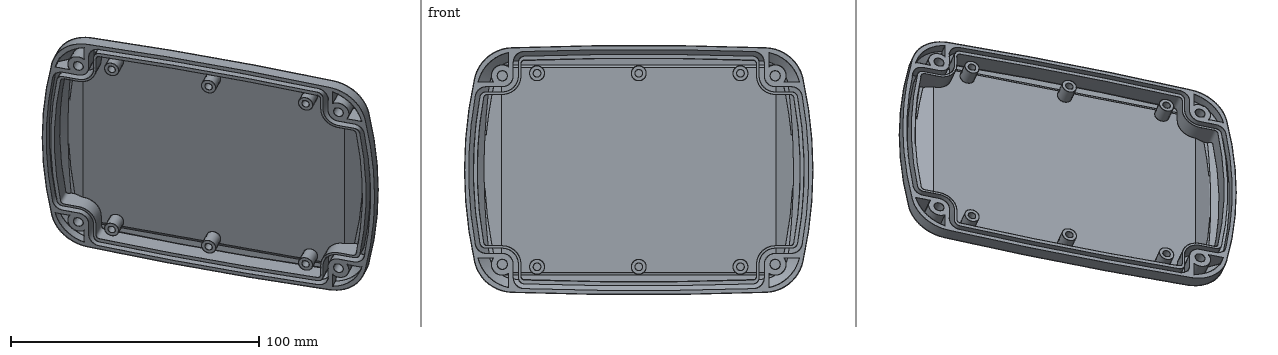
import cadquery as cq
import math


half_length = 70.26
half_height = 50.26
end_arc_radius = 170.0
long_arc_radius = 1400.0
corner_radius = 16.0

total_depth = 11.0
edge_depth = 5.0
bevel_slope = 1.13
back_radius = 430.0
wall = 1.5

panel_half_length = 55.0
panel_half_height = 41.0
panel_depth = 8.5
panel_slope = 20.0

rim_width = 1.7
bevel_start = 4.0
rim_corner_radius = 4.5
lip_side_outer = 3.6
lip_side_inner = 5.15
lip_outer_corner_radius = 2.5
lip_inner_corner_radius = 1.6

boss_x = 55.0
boss_z = 38.0
boss_radius = 4.4
boss_wall = 1.9
boss_hole_diameter = 4.1
boss_hole_depth = 6.0
lip_boss_outer = 6.5
lip_boss_inner = 7.5

post_x_spacing = 41.0
post_z = 39.0
post_diameter = 6.0
post_hole_diameter = 3.1
post_top = 0.3
post_hole_depth = 5.0

corner_signs = [(sx, sz) for sx in (-1, 1) for sz in (-1, 1)]
boss_points = [(sx * boss_x, sz * boss_z) for sx, sz in corner_signs]
post_points = [(i * post_x_spacing, s * post_z) for i in (-1, 0, 1) for s in (-1, 1)]


def depth_plane(y=0.0):
    """Workplane at depth y whose extrusions run toward +Y."""
    return cq.Workplane(cq.Plane(origin=(0, y, 0), xDir=(1, 0, 0), normal=(0, 1, 0)))


def arc_meeting_point(x_end, z_end, r_end, r_long):
    """Corner where the end arc and the long arc cross."""
    end_centre = x_end - r_end
    long_centre = z_end - r_long
    span = math.hypot(end_centre, long_centre)
    along = (r_end**2 - r_long**2 + span**2) / (2 * span)
    across = math.sqrt(r_end**2 - along**2)
    ux = -end_centre / span
    uz = long_centre / span
    return end_centre + along * ux - across * uz, along * uz + across * ux


def outline_prism(inset):
    """Sharp-cornered, full-depth prism of the outline moved inward by inset."""
    x_end = half_length - inset
    z_end = half_height - inset
    cx, cz = arc_meeting_point(x_end, z_end, end_arc_radius - inset, long_arc_radius - inset)
    return (
        depth_plane()
        .moveTo(-cx, -cz)
        .threePointArc((0, -z_end), (cx, -cz))
        .threePointArc((x_end, 0), (cx, cz))
        .threePointArc((0, z_end), (-cx, cz))
        .threePointArc((-x_end, 0), (-cx, -cz))
        .close()
        .extrude(total_depth)
    )


def bevelled_body(inset, straight_depth):
    """Rounded outline whose far edge is bevelled beyond straight_depth."""
    rise = total_depth - straight_depth
    body = outline_prism(inset).edges("|Y").fillet(corner_radius)
    return body.faces(">Y").edges().chamfer(rise, bevel_slope * rise)


def crown_cylinder(crown_depth, radius):
    """Cylinder along X whose crown lies at Y = crown_depth."""
    return (
        cq.Workplane("YZ", origin=(-half_length, 0, 0))
        .center(crown_depth - radius, 0)
        .circle(radius)
        .extrude(2 * half_length)
    )


def panel_block(half_x, half_z, depth):
    """Rectangular block from Y = depth outward, its borders flaring at the panel slope."""
    reach = total_depth - depth
    flare = reach / math.tan(math.radians(panel_slope))
    return (
        depth_plane(depth)
        .rect(2 * half_x, 2 * half_z)
        .workplane(offset=reach)
        .rect(2 * (half_x + flare), 2 * (half_z + flare))
        .loft(combine=True)
    )


def corner_blocks(x_inner, z_inner):
    """Four blocks that fill the corners beyond x_inner and z_inner."""
    size_x = half_length - x_inner
    size_z = half_height - z_inner
    mid_x = x_inner + size_x / 2
    mid_z = z_inner + size_z / 2
    centres = [(sx * mid_x, sz * mid_z) for sx, sz in corner_signs]
    return depth_plane().pushPoints(centres).rect(size_x, size_z).extrude(total_depth)


def cylinders(points, diameter, depth, start=0.0):
    """Round columns of the given depth, beginning at Y = start."""
    return depth_plane(start).pushPoints(points).circle(diameter / 2).extrude(depth)


def is_boss_edge(edge):
    """True for the loop corner that turns around a boss."""
    centre = edge.Center()
    return abs(centre.x) < boss_x and abs(centre.z) < boss_z


def is_side_corner(edge):
    """True where the loop's boss step runs out into a side of the outline."""
    centre = edge.Center()
    return abs(centre.x) > boss_x + boss_radius or abs(centre.z) > boss_z + boss_radius


def seal_loop(inset, around_boss, side_corner_radius):
    """Prism inside the outline that steps inward around each corner boss."""
    loop = outline_prism(inset)
    loop = loop.cut(corner_blocks(boss_x - around_boss, boss_z - around_boss))
    loop = loop.edges("|Y").filter(is_boss_edge).fillet(around_boss)
    return loop.edges("|Y").filter(is_side_corner).fillet(side_corner_radius)


def make_outer():
    """Solid cover: bevelled outline, crowned back, sunken panel."""
    body = bevelled_body(0, edge_depth).intersect(crown_cylinder(total_depth, back_radius))
    return body.cut(panel_block(panel_half_length, panel_half_height, panel_depth))


def make_cavity():
    """Inside of the shell, one wall thickness below the back and its panel."""
    panel_growth = wall * math.tan(math.radians(panel_slope / 2))
    inner_panel = panel_block(
        panel_half_length + panel_growth,
        panel_half_height + panel_growth,
        panel_depth - wall,
    )
    cavity = bevelled_body(rim_width, bevel_start)
    return cavity.intersect(crown_cylinder(total_depth - wall, back_radius - wall)).cut(inner_panel)


def make_opening():
    """Region left empty: interior and corner pockets, less bosses, lip and posts."""
    pocket_offset = boss_radius - boss_wall
    pockets = corner_blocks(boss_x - pocket_offset, boss_z - pocket_offset)
    pockets = pockets.cut(cylinders(boss_points, 2 * boss_radius, total_depth))
    lip = seal_loop(lip_side_outer, lip_boss_outer, lip_outer_corner_radius)
    lip = lip.cut(seal_loop(lip_side_inner, lip_boss_inner, lip_inner_corner_radius))
    posts = cylinders(post_points, post_diameter, total_depth, post_top)
    interior = seal_loop(rim_width, boss_radius, rim_corner_radius)
    return interior.cut(lip).cut(posts).union(pockets)


shell = make_outer().cut(make_cavity().intersect(make_opening()))
boss_holes = cylinders(boss_points, boss_hole_diameter, boss_hole_depth)
post_holes = cylinders(post_points, post_hole_diameter, post_hole_depth, post_top)
result = shell.cut(boss_holes).cut(post_holes)